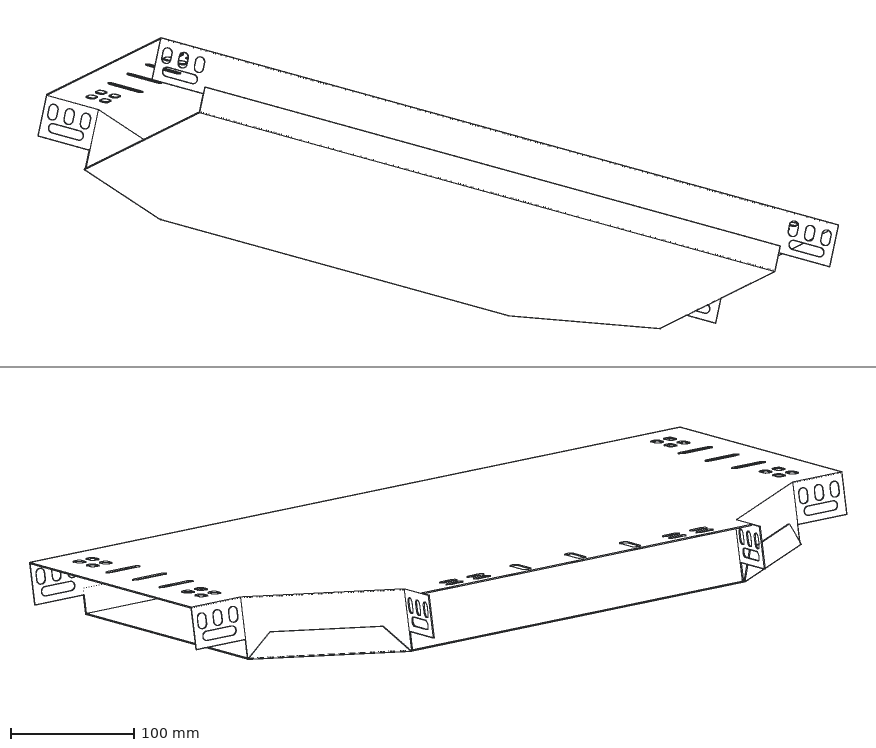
import cadquery as cq
import math


sheet = 1.0
wall_depth = 51.0

run_length = 591.5
tray_width = 302.0
shoulder = 100.0
branch_setback = 15.0

tab_depth = 35.5

floor_slot_width = 7.0
tab_slot_width = 7.5
floor_short_slot = 15.0
tab_short_slot = 13.0
long_slot = 30.0
floor_long_inset = 35.5
floor_short_inset = 33.0
floor_long_pitch = 50.0
floor_group_offset = 101.0
floor_group_pitch = 25.0
floor_group_row_pitch = 12.0
tab_short_pitch = 14.0
tab_short_depth = 13.0
tab_long_depth = 26.0

lip_height = 22.0

tilt_x = -28.8
tilt_y = 19.24
tilt_z = 61.2

half_run = run_length / 2
half_branch = tray_width / 2
corner_x = half_branch + shoulder
corner_y = tray_width + shoulder
tab_length = half_run - corner_x
branch_end = corner_y + tab_length
cover_bottom = -wall_depth - sheet
corner_length = shoulder * math.sqrt(2)
corner_wall_angle = 135
cut_margin = 6.0


def tray_prism(inset, overrun, top, bottom):
    """Tee prism with its walled sides moved inward by inset and its open ends outward by overrun."""
    end_x = half_run + overrun
    end_y = branch_end + overrun
    straight_y = inset
    arm_y = tray_width - inset
    branch_x = half_branch - inset
    diagonal_sum = corner_x + tray_width - inset * math.sqrt(2)
    right_side = [
        (end_x, straight_y),
        (end_x, arm_y),
        (diagonal_sum - arm_y, arm_y),
        (branch_x, diagonal_sum - branch_x),
        (branch_x, end_y),
    ]
    left_side = [(-x, y) for x, y in reversed(right_side)]
    outline = cq.Workplane("XY").workplane(offset=bottom).polyline(right_side + left_side).close()
    return outline.extrude(top - bottom)


def block(x_range, y_range, z_range):
    """Box given by its limits along each axis."""
    sizes = [high - low for low, high in (x_range, y_range, z_range)]
    start = (x_range[0], y_range[0], z_range[0])
    return cq.Workplane("XY").box(*sizes, centered=False).translate(start)


def arm_slots():
    """Slot cutters of one arm floor, its end on the Y axis and its inside toward -X."""
    depth = sheet + 2 * cut_margin
    plane = cq.Workplane("XY").workplane(offset=-sheet - cut_margin)
    long_points = [(-floor_long_inset, i * floor_long_pitch) for i in (-1, 0, 1)]
    short_points = [
        (
            -floor_short_inset + row * floor_group_row_pitch / 2,
            side * floor_group_offset + i * floor_group_pitch / 2,
        )
        for side in (-1, 1)
        for row in (-1, 1)
        for i in (-1, 1)
    ]
    cutters = plane.pushPoints(long_points).slot2D(long_slot, floor_slot_width).extrude(depth)
    short_outlines = plane.pushPoints(short_points).slot2D(floor_short_slot, floor_slot_width, 90)
    return cutters.add(short_outlines.extrude(depth))


def tab_slots():
    """Slot cutters of a tab in the XZ plane, the tab centred on x = 0."""
    plane = cq.Workplane("XZ").workplane(offset=-cut_margin)
    depth = 2 * cut_margin
    short_points = [(i * tab_short_pitch, -tab_short_depth) for i in (-1, 0, 1)]
    cutters = plane.pushPoints(short_points).slot2D(tab_short_slot, tab_slot_width, 90).extrude(depth)
    long_cutter = plane.center(0, -tab_long_depth).slot2D(long_slot, tab_slot_width).extrude(depth)
    return cutters.add(long_cutter)


def cut_all(body, cutters):
    """Cut every solid of a workplane from the body."""
    for cutter in cutters.vals():
        body = body.cut(cq.Workplane(cutter))
    return body


def turned(cutters, angle, place):
    """Turn a workplane of solids about the Z axis, then move each to its place."""
    turned_solids = [solid.rotate((0, 0, 0), (0, 0, 1), angle) for solid in cutters.vals()]
    return cutters.newObject([solid.translate(place) for solid in turned_solids])


def make_tray():
    """Tee-shaped floor with bent-down walls, perforated at its three arms."""
    tray = tray_prism(0, 0, 0, -wall_depth)
    tray = tray.cut(tray_prism(sheet, cut_margin, -sheet, -wall_depth - cut_margin))

    below_tabs = (-wall_depth - cut_margin, -tab_depth)
    across_run = (-cut_margin, tray_width + cut_margin)
    tray = tray.cut(block((corner_x, half_run + cut_margin), across_run, below_tabs))
    tray = tray.cut(block((-half_run - cut_margin, -corner_x), across_run, below_tabs))
    across_branch = (-half_branch - cut_margin, half_branch + cut_margin)
    tray = tray.cut(block(across_branch, (corner_y, branch_end + cut_margin), below_tabs))

    branch_gap = (branch_end - branch_setback, branch_end + cut_margin)
    between_tabs = (-half_branch + sheet, half_branch - sheet)
    tray = tray.cut(block(between_tabs, branch_gap, (-wall_depth, cut_margin)))

    arm_ends = [
        (0, (half_run, half_branch, 0)),
        (90, (0, branch_end, 0)),
        (180, (-half_run, half_branch, 0)),
    ]
    for angle, place in arm_ends:
        tray = cut_all(tray, turned(arm_slots(), angle, place))

    run_tab_x = half_run - tab_length / 2
    branch_tab_y = branch_end - tab_length / 2
    for side in (-1, 1):
        for wall_y in (0, tray_width):
            tray = cut_all(tray, turned(tab_slots(), 0, (side * run_tab_x, wall_y, 0)))
        tray = cut_all(tray, turned(tab_slots(), 90, (side * half_branch, branch_tab_y, 0)))
    return tray


def cover_lip(length, end_taper):
    """Lip in the XZ plane, centred on x = 0, its sheet thickness toward -Y."""
    half_top = length / 2 - end_taper
    lip_top = cover_bottom + lip_height
    outline = [
        (-length / 2, cover_bottom),
        (length / 2, cover_bottom),
        (half_top, lip_top),
        (-half_top, lip_top),
    ]
    return cq.Workplane("XZ").polyline(outline).close().extrude(sheet)


def make_cover():
    """Flat cover under the tray walls, with lips outside the straight and the 45 degree walls."""
    diagonal_sum = corner_x + tray_width + sheet * math.sqrt(2)
    right_side = [
        (corner_x, -sheet),
        (corner_x, diagonal_sum - corner_x),
        (diagonal_sum - corner_y, corner_y),
    ]
    left_side = [(-x, y) for x, y in reversed(right_side)]
    cover = cq.Workplane("XY").workplane(offset=cover_bottom).polyline(right_side + left_side).close()
    cover = cover.extrude(sheet)
    cover = cover.union(cover_lip(2 * corner_x, 0))

    middle = (half_branch + shoulder / 2, tray_width + shoulder / 2, 0)
    corner_lip = cover_lip(corner_length, lip_height)
    corner_lip = corner_lip.rotate((0, 0, 0), (0, 0, 1), corner_wall_angle).translate(middle)
    return cover.union(corner_lip).union(corner_lip.mirror("YZ"))


def tilted(body):
    """Turn a flat-built body into its final attitude."""
    body = body.rotate((0, 0, 0), (1, 0, 0), tilt_x)
    body = body.rotate((0, 0, 0), (0, 1, 0), tilt_y)
    return body.rotate((0, 0, 0), (0, 0, 1), tilt_z)


tray = tilted(make_tray())
cover = tilted(make_cover())

result = cq.Compound.makeCompound([tray.val(), cover.val()])